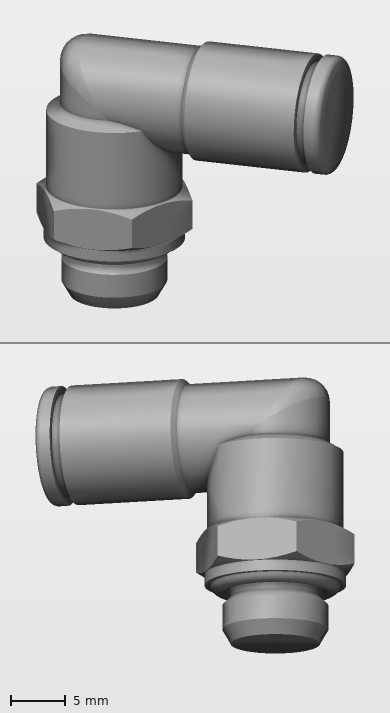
import cadquery as cq
import math


overall_length = 29.0
overall_height = 25.2

hex_across_flats = 13.0
hex_corner_radius = hex_across_flats / math.sqrt(3)
stud_diameter = 9.72
stud_tip_diameter = 8.18
neck_diameter = 8.3
stud_tip_height = 1.33
thread_top_z = 3.57
neck_bottom_z = 4.25
flange_bottom_z = 5.48
hex_bottom_z = 6.47
hex_top_z = 10.5
hex_chamfer_angle = 30.0
hex_chamfer_diameter = 12.82

ring_bottom_z = 4.7
ring_outer_diameter = 12.0
ring_section_radius = (ring_outer_diameter - neck_diameter) / 4
ring_center_z = ring_bottom_z + ring_section_radius
ring_top_z = ring_center_z + ring_section_radius

body_diameter = 12.5
tube_diameter = 10.0
sleeve_diameter = 11.0
outlet_z = overall_height - sleeve_diameter / 2
body_shoulder_z = 17.93
body_top_z = 18.65
knuckle_round = 2.0
sleeve_start_x = 7.98
sleeve_chamfer = (sleeve_diameter - tube_diameter) / 2
sleeve_end_x = 19.0

collet_neck_diameter = 9.5
collet_shoulder_diameter = 10.1
collet_face_diameter = 9.0
collet_gap = 0.93
collet_end_x = overall_length - hex_corner_radius
collet_rim_length = 0.7
collet_cone_length = 0.12


def turned(profile):
    """Revolve a (radius, z) outline about the Z axis."""
    return cq.Workplane("XZ").polyline(profile).close().revolve(360, (0, 0), (0, 1))


def outlet_cylinder(diameter, start_x, end_x):
    """Cylinder on the outlet axis."""
    disc = cq.Workplane("YZ", origin=(start_x, 0, outlet_z)).circle(diameter / 2)
    return disc.extrude(end_x - start_x)


def make_hexagon():
    """Hexagon with corners on the X axis, both ends turned to a shallow cone."""
    height = hex_top_z - hex_bottom_z
    prism = cq.Workplane("XY", origin=(0, 0, hex_bottom_z)).polygon(6, 2 * hex_corner_radius).extrude(height)
    end_radius = hex_chamfer_diameter / 2
    cone_drop = (hex_corner_radius - end_radius) * math.tan(math.radians(hex_chamfer_angle))
    envelope = turned([
        (0, hex_bottom_z),
        (end_radius, hex_bottom_z),
        (hex_corner_radius, hex_bottom_z + cone_drop),
        (hex_corner_radius, hex_top_z - cone_drop),
        (end_radius, hex_top_z),
        (0, hex_top_z),
    ])
    return prism.intersect(envelope)


def make_stud():
    """Stud with lead-in cone, undercut neck, flange with ring groove, and hexagon."""
    shank = turned([
        (0, 0),
        (stud_tip_diameter / 2, 0),
        (stud_diameter / 2, stud_tip_height),
        (stud_diameter / 2, thread_top_z),
        (neck_diameter / 2, neck_bottom_z),
        (neck_diameter / 2, flange_bottom_z),
        (hex_across_flats / 2, flange_bottom_z),
        (hex_across_flats / 2, hex_bottom_z),
        (0, hex_bottom_z),
    ])
    ring_groove = turned([
        (neck_diameter / 2, flange_bottom_z),
        (ring_outer_diameter / 2, flange_bottom_z),
        (ring_outer_diameter / 2, ring_top_z),
        (neck_diameter / 2, ring_top_z),
    ])
    return shank.union(make_hexagon()).cut(ring_groove)


def make_sealing_ring():
    """O-ring that fits the neck and stands out of the flange groove."""
    ring_center_radius = neck_diameter / 2 + ring_section_radius
    section = cq.Workplane("XZ").center(ring_center_radius, ring_center_z).circle(ring_section_radius)
    return section.revolve(360, (-ring_center_radius, 0), (-ring_center_radius, 1))


def mitred_tube(diameter):
    """Cylinder up the stud axis, mitred at the outlet axis into one along it."""
    path = (
        cq.Workplane("XZ")
        .moveTo(0, hex_top_z)
        .lineTo(0, outlet_z)
        .lineTo(sleeve_start_x, outlet_z)
    )
    return cq.Workplane("XY", origin=(0, 0, hex_top_z)).circle(diameter / 2).sweep(path, transition="right")


def make_knuckle_wedge():
    """Wedge at the outer corner, bounded by the tangent lines of the knuckle round."""
    reach = tube_diameter
    tangent_offset = reach * (1 - knuckle_round / (tube_diameter / 2))
    wedge_outline = [
        (0, outlet_z),
        (-reach, outlet_z + tangent_offset),
        (-reach, outlet_z + reach),
        (-tangent_offset, outlet_z + reach),
    ]
    return cq.Workplane("XZ").polyline(wedge_outline).close().extrude(tube_diameter, both=True)


def make_knuckle_pipe():
    """Pipe along the mitre ellipse; its outside is the constant-radius knuckle round."""
    core_radius = tube_diameter / 2 - knuckle_round
    mitre_plane = cq.Plane(origin=(0, 0, outlet_z), xDir=(0, 1, 0), normal=(1, 0, 1))
    half_ellipse = cq.Workplane(mitre_plane).ellipseArc(
        core_radius, core_radius * math.sqrt(2), 0, 180, startAtCurrent=False
    )
    start_plane = cq.Plane(origin=(0, core_radius, outlet_z), xDir=(0, 1, 0), normal=(-1, 0, 1))
    return cq.Workplane(start_plane).circle(knuckle_round).sweep(half_ellipse)


def make_rounded_tube():
    """Mitred tube whose outer corner is rounded, the round fading out at both sides."""
    wedge = make_knuckle_wedge()
    core = mitred_tube(tube_diameter - 2 * knuckle_round)
    knuckle = make_knuckle_pipe().union(core).intersect(wedge)
    return mitred_tube(tube_diameter).cut(wedge).union(knuckle)


def make_elbow():
    """Rounded mitred tube, joined to the lower body and the outlet sleeve."""
    tube = make_rounded_tube()
    body = turned([
        (0, hex_top_z),
        (body_diameter / 2, hex_top_z),
        (body_diameter / 2, body_shoulder_z),
        (tube_diameter / 2, body_top_z),
        (0, body_top_z),
    ])
    sleeve = outlet_cylinder(sleeve_diameter, sleeve_start_x, sleeve_end_x)
    sleeve = sleeve.faces("<X").edges().chamfer(sleeve_chamfer)
    return tube.union(body).union(sleeve)


def make_collet():
    """Release collet: a neck against the sleeve end, and a flange with a rounded rim."""
    flange_start_x = sleeve_end_x + collet_gap
    flange_radius = sleeve_diameter / 2
    profile = (
        cq.Workplane("XZ", origin=(0, 0, outlet_z))
        .moveTo(sleeve_end_x, 0)
        .lineTo(sleeve_end_x, collet_neck_diameter / 2)
        .lineTo(flange_start_x, collet_neck_diameter / 2)
        .lineTo(flange_start_x, flange_radius)
        .lineTo(collet_end_x - collet_rim_length, flange_radius)
        .tangentArcPoint((collet_end_x - collet_cone_length, collet_shoulder_diameter / 2), relative=False)
        .lineTo(collet_end_x, collet_face_diameter / 2)
        .lineTo(collet_end_x, 0)
        .close()
    )
    return profile.revolve(360, (0, 0), (1, 0))


stud = make_stud()
sealing_ring = make_sealing_ring()
elbow = make_elbow()
collet = make_collet()

result = cq.Compound.makeCompound([stud.val(), sealing_ring.val(), elbow.val(), collet.val()])